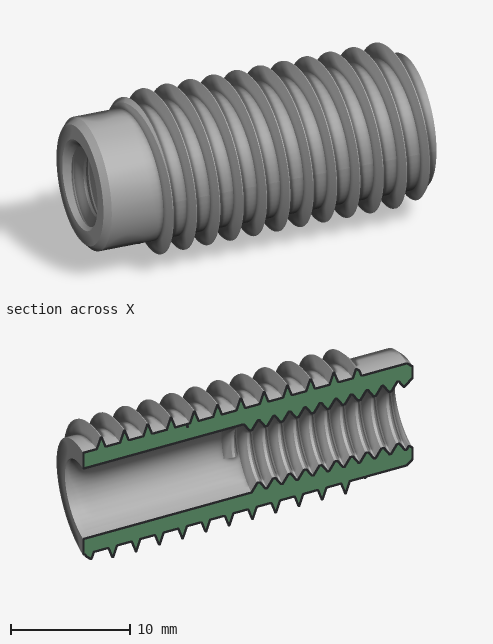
import cadquery as cq
import math

length = 30.0
core_radius = 5.75
crest_radius = 7.005
nose_chamfer = 0.55

outer_pitch = 25.4 / 12
outer_turns = 13
outer_first_crest = 3.48
ridge_base_width = 0.8
ridge_tip_width = 0.05
shoulder_height = 4.2

bore_radius = 3.03
root_radius = 3.93
inner_pitch = 1.4
inner_sections = 2
section_turns = 12
inner_first_crest = -1.68
inner_start_angle = 37.0
inner_crest_width = 0.25
flank_angle = math.radians(30)
mouth_chamfer_height = 0.9

overlap = 0.05


def radial_profile(points):
    """Closed outline in the XZ plane from (radius, height) points."""
    return cq.Workplane("XZ").polyline(points).close()


def revolved(points):
    """Solid of revolution about Z from (radius, height) points."""
    return radial_profile(points).revolve(360, (0, 0, 0), (0, 1, 0))


def helical_sweep(points, pitch, turns, start_height, radius):
    """Sweep an outline along a right-hand helix that starts on the +X side."""
    helix = cq.Wire.makeHelix(pitch, pitch * turns, radius).moved(cq.Location(cq.Vector(0, 0, start_height)))
    return radial_profile(points).sweep(cq.Workplane(helix), isFrenet=True)


def make_core():
    core = cq.Workplane("XY").circle(core_radius).extrude(length)
    return core.faces("<Z").chamfer(nose_chamfer)


def make_outer_ridge():
    """Helical ridge, trimmed by 45 degree cones at both ends of the thread."""
    slope = (ridge_base_width - ridge_tip_width) / 2 / (crest_radius - core_radius)
    base = ridge_base_width / 2 + slope * overlap
    tip = ridge_tip_width / 2
    inner = core_radius - overlap
    ridge = helical_sweep(
        [
            (inner, outer_first_crest - base),
            (crest_radius, outer_first_crest - tip),
            (crest_radius, outer_first_crest + tip),
            (inner, outer_first_crest + base),
        ],
        outer_pitch, outer_turns, outer_first_crest, core_radius,
    )
    trim = crest_radius + overlap - core_radius
    envelope = revolved([
        (0, shoulder_height),
        (core_radius, shoulder_height),
        (core_radius + trim, shoulder_height + trim),
        (core_radius + trim, length - trim),
        (core_radius, length),
        (0, length),
    ])
    return ridge.intersect(envelope)


def make_bore():
    """Bore at the root of the internal thread."""
    return cq.Workplane("XY").circle(root_radius).extrude(length)


def make_inner_ridge(section):
    """One length of the ridge inside the bore, trimmed by the mouth chamfer."""
    outer = root_radius + overlap
    tip = inner_crest_width / 2
    base = tip + (outer - bore_radius) * math.tan(flank_angle)
    start = inner_first_crest + section * section_turns * inner_pitch
    ridge = helical_sweep(
        [
            (outer, start - base),
            (bore_radius, start - tip),
            (bore_radius, start + tip),
            (outer, start + base),
        ],
        inner_pitch, section_turns, start, bore_radius,
    ).rotate((0, 0, 0), (0, 0, 1), inner_start_angle)
    clear_radius = bore_radius - overlap
    outer_clear = outer + overlap
    mouth_slope = mouth_chamfer_height / (root_radius - bore_radius)
    envelope = revolved([
        (root_radius, 0),
        (outer_clear, 0),
        (outer_clear, length),
        (clear_radius, length),
        (clear_radius, mouth_slope * (root_radius - clear_radius)),
    ])
    return ridge.intersect(envelope)


insert = make_core().cut(make_bore())
for section in range(inner_sections):
    insert = insert.union(make_inner_ridge(section))
insert = insert.union(make_outer_ridge())
result = insert.rotate((0, 0, 0), (1, 0, 0), -90)